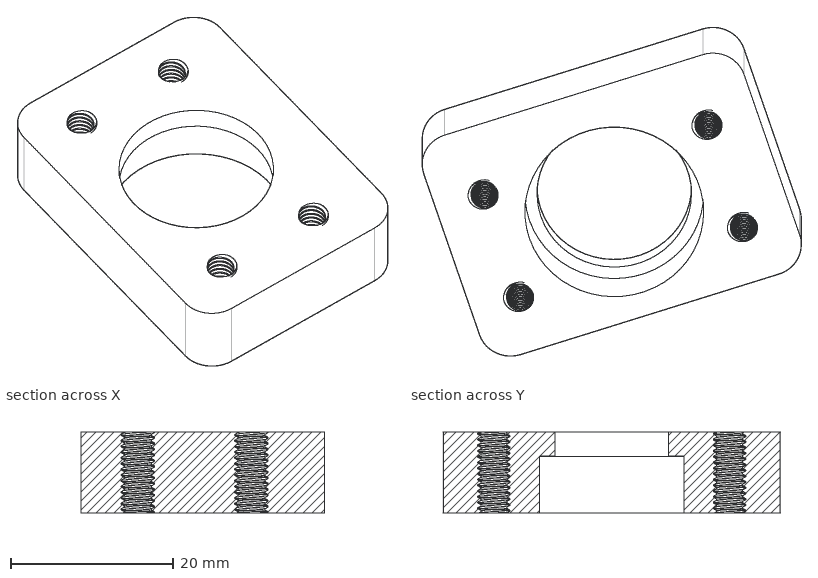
import cadquery as cq
import math

length = 41.5
width = 30.0
thickness = 10.0
corner_radius = 4.03

pattern_centre_y = -1.0

bore_diameter = 19.0
seat_diameter = 22.0
bore_depth = 3.0
seat_depth = thickness - bore_depth

hole_spacing_x = 29.0
hole_spacing_y = 14.0
minor_diameter = 3.3
pitch = 0.7
groove_depth = 0.37
mouth_width = 0.7 * pitch
root_width = pitch / 8
groove_overlap = 0.05
deepest_angle = 95.0

spare_turns = 2


def make_plate():
    plate = cq.Workplane("XY").box(length, width, thickness, centered=(True, True, False))
    return plate.edges("|Z").fillet(corner_radius)


def make_opening():
    seat = cq.Workplane("XY").circle(seat_diameter / 2).extrude(seat_depth)
    bore = cq.Workplane("XY").circle(bore_diameter / 2).extrude(thickness)
    return seat.union(bore)


def make_thread_groove():
    """Helical groove that starts at Z = 0 on +X and is at least two turns longer than the hole."""
    minor_radius = minor_diameter / 2
    flank_slope = (mouth_width - root_width) / 2 / groove_depth
    inner_radius = minor_radius - groove_overlap
    outer_radius = minor_radius + groove_depth
    inner_half_width = mouth_width / 2 + groove_overlap * flank_slope
    root_half_width = root_width / 2
    profile = [
        (inner_radius, -inner_half_width),
        (outer_radius, -root_half_width),
        (outer_radius, root_half_width),
        (inner_radius, inner_half_width),
    ]
    turn = cq.Wire.makeHelix(pitch, pitch, minor_radius).Edges()[0]
    turn_count = math.ceil(thickness / pitch) + spare_turns
    turns = [turn.translate(cq.Vector(0, 0, index * pitch)) for index in range(turn_count)]
    path = cq.Workplane(obj=cq.Wire.assembleEdges(turns))
    return cq.Workplane("XZ").polyline(profile).close().sweep(path, isFrenet=True)


def make_tapped_hole():
    """Cutter for one tapped hole: a round core and a groove that runs past both faces."""
    core = cq.Workplane("XY").circle(minor_diameter / 2).extrude(thickness)
    groove_angle = deepest_angle - 360.0 * thickness / pitch
    groove = make_thread_groove().translate((0, 0, -pitch))
    groove = groove.rotate((0, 0, 0), (0, 0, 1), groove_angle)
    return core.union(groove, clean=False)


result = make_plate().cut(make_opening().translate((0, pattern_centre_y, 0)))
tapped_hole = make_tapped_hole()
for x in (-hole_spacing_x / 2, hole_spacing_x / 2):
    for y in (-hole_spacing_y / 2, hole_spacing_y / 2):
        result = result.cut(tapped_hole.translate((x, y + pattern_centre_y, 0)), clean=False)
result = result.solids()